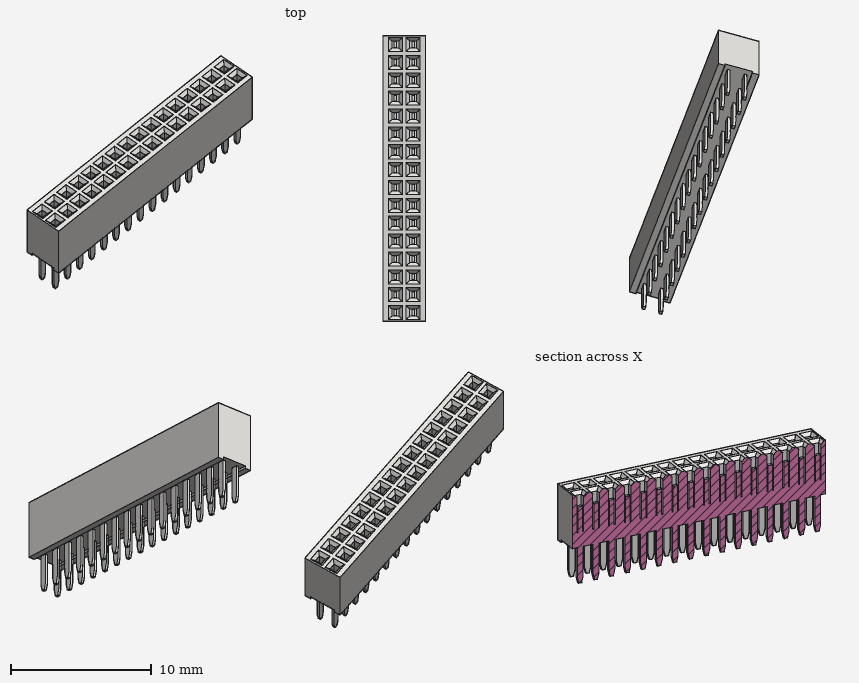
import cadquery as cq

PITCH = 1.27
ROWS = 2
PINS_PER_ROW = 16

HOUSING_WIDTH = 3.05
HOUSING_LENGTH = PITCH * PINS_PER_ROW
HOUSING_HEIGHT = 4.4
FOOT_WIDTH = 0.5
FOOT_HEIGHT = 0.2

FUNNEL_MOUTH = 1.0
FUNNEL_THROAT = 0.5
FUNNEL_DEPTH = (FUNNEL_MOUTH - FUNNEL_THROAT) / 2
SOCKET_DEPTH = 3.0

PIN_THICKNESS = 0.2
PIN_WIDTH = 0.5
PIN_TIP_WIDTH = 0.25
PIN_TOP_WIDTH = 0.4
PIN_TAPER_LENGTH = 0.5
PIN_PROJECTION = 2.6
PIN_RISE_ABOVE_SOCKET_FLOOR = 2.0

SOCKET_FLOOR_Z = HOUSING_HEIGHT - SOCKET_DEPTH
PIN_TOP_Z = SOCKET_FLOOR_Z + PIN_RISE_ABOVE_SOCKET_FLOOR


def contact_positions():
    """Centres of all contacts, on a grid centred on the origin."""
    return [
        ((row - (ROWS - 1) / 2) * PITCH, (column - (PINS_PER_ROW - 1) / 2) * PITCH)
        for row in range(ROWS)
        for column in range(PINS_PER_ROW)
    ]


def make_housing():
    """Rectangular block with a full-length channel between its feet."""
    block = cq.Workplane("XY").box(
        HOUSING_WIDTH, HOUSING_LENGTH, HOUSING_HEIGHT, centered=(True, True, False)
    )
    channel_width = HOUSING_WIDTH - 2 * FOOT_WIDTH
    channel = cq.Workplane("XY").box(
        channel_width, HOUSING_LENGTH, FOOT_HEIGHT, centered=(True, True, False)
    )
    return block.cut(channel)


def make_socket():
    """Void of one socket, centred on the Z axis."""
    funnel = (
        cq.Workplane("XY", origin=(0, 0, HOUSING_HEIGHT))
        .rect(FUNNEL_MOUTH, FUNNEL_MOUTH)
        .workplane(offset=-FUNNEL_DEPTH)
        .rect(FUNNEL_THROAT, FUNNEL_THROAT)
        .loft(ruled=True)
    )
    hole = (
        cq.Workplane("XY", origin=(0, 0, SOCKET_FLOOR_Z))
        .rect(FUNNEL_THROAT, FUNNEL_THROAT)
        .extrude(SOCKET_DEPTH - FUNNEL_DEPTH)
    )
    return funnel.union(hole)


def make_pin():
    """One flat contact on the Z axis, stepped at the socket floor and tapered at its lower end."""
    half_width = PIN_WIDTH / 2
    half_top = PIN_TOP_WIDTH / 2
    half_tip = PIN_TIP_WIDTH / 2
    tip_z = -PIN_PROJECTION
    taper_z = tip_z + PIN_TAPER_LENGTH
    outline = [
        (-half_width, SOCKET_FLOOR_Z),
        (-half_top, SOCKET_FLOOR_Z),
        (-half_top, PIN_TOP_Z),
        (half_top, PIN_TOP_Z),
        (half_top, SOCKET_FLOOR_Z),
        (half_width, SOCKET_FLOOR_Z),
        (half_width, taper_z),
        (half_tip, tip_z),
        (-half_tip, tip_z),
        (-half_width, taper_z),
    ]
    return cq.Workplane("YZ").polyline(outline).close().extrude(PIN_THICKNESS / 2, both=True)


def copy_to_contacts(shape):
    """Compound holding a copy of the shape at every contact position."""
    solid = shape.val()
    copies = [solid.moved(cq.Location(cq.Vector(x, y, 0))) for x, y in contact_positions()]
    return cq.Workplane(cq.Compound.makeCompound(copies))


housing = make_housing().cut(copy_to_contacts(make_socket()))
result = housing.union(copy_to_contacts(make_pin()))